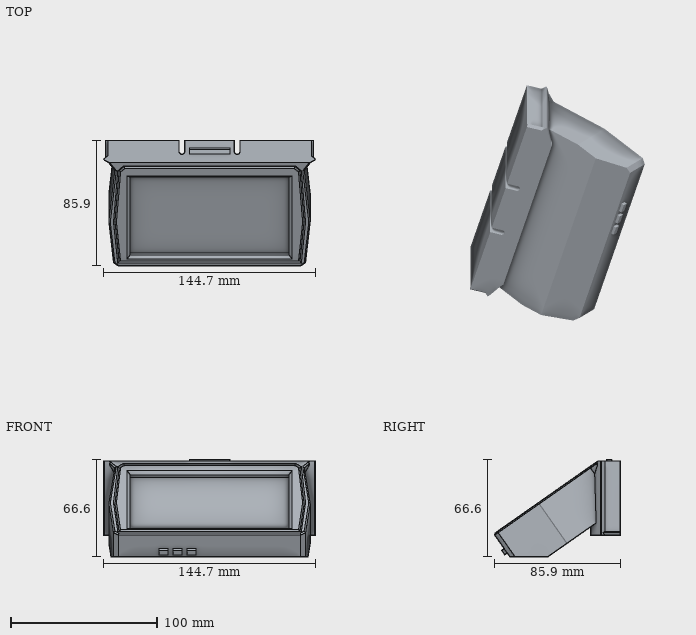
import cadquery as cq
import math

TILT = 35.0
TOTAL_DEPTH = 85.89
TOTAL_WIDTH = 144.66
TOTAL_HEIGHT = 66.6
EDGE = 1.0
LARGE = 400.0

SIN_TILT = math.sin(math.radians(TILT))
COS_TILT = math.cos(math.radians(TILT))

ridge_length = 27.7
ridge_height = 1.0
ridge_back = 5.4
ridge_front = 9.5

top_z = TOTAL_HEIGHT - ridge_height
neck_bottom_z = 14.7
neck_top_depth = 15.2
neck_front = 20.6
neck_half = 69.5
flange_back = 10.5
flange_tip = 12.9
flange_nose_depth = 13.7
flange_nose_half = 71.7
flange_slant = 29.0
flange_root_depth = 20.1
lip_half = 71.1
lip_top_z = 17.4
lip_crest_z = 16.5

slot_width = 3.8
slot_end = 9.5
slot_x = 18.9

case_front = TOTAL_DEPTH + EDGE * SIN_TILT
face_length = (case_front - neck_top_depth) / COS_TILT
face_low_z = top_z - face_length * SIN_TILT
case_thickness = 34.0
case_top_v = face_length + 10.0
case_back = 14.0
waist_v = 37.2
waist_half = 68.8
corner_u = 62.3
corner_half = 65.6
corner_v = 2.9
flare_v = 79.9
flare_root_half = 64.7
flare_half = 68.2
flare_end_v = 85.0

bezel_inset = 4.0
bezel_low_half = 61.7
bezel_waist_half = 64.6
bezel_high_half = 61.7
bezel_corner = 3.4
bezel_thickness = 4.4
window_half = 56.4
window_low = 6.4
window_high = face_length - 11.4
window_bevel = 2.15

display_margin = 2.0
display_thickness = 3.0

button_count = 3
button_pitch = 9.6
button_first_x = -31.4
button_width = 6.2
button_height = 3.7
button_reach = 2.1
button_top_n = -12.3


def face_plane(n=0.0):
    """Plane parallel to the sloping face, n outside it."""
    origin = (0, -case_front - n * SIN_TILT, face_low_z + n * COS_TILT)
    return cq.Plane(origin=origin, xDir=(1, 0, 0), normal=(0, -SIN_TILT, COS_TILT))


def mirrored(right_side):
    """Closed outline from the points of its right side."""
    return right_side + [(-x, y) for x, y in reversed(right_side)]


def chamfer_face(block):
    """Chamfer the edges of a block's outermost sloping face."""
    outward = cq.Vector(0, -SIN_TILT, COS_TILT)
    return block.faces(cq.selectors.DirectionNthSelector(outward, -1)).chamfer(EDGE)


def make_case():
    """Sloping case, trimmed flat at the bottom, at the top and inside the neck."""
    outline = mirrored([
        (corner_u, 0),
        (corner_half, corner_v),
        (waist_half, waist_v),
        (flare_root_half, flare_v),
        (flare_half, flare_end_v),
        (flare_half, case_top_v),
    ])
    case = cq.Workplane(face_plane(-case_thickness)).polyline(outline).close().extrude(case_thickness)
    case = chamfer_face(case)
    trim = cq.Workplane("XY").box(LARGE, LARGE, top_z, centered=(True, False, False))
    return case.intersect(trim.translate((0, -case_back - LARGE, 0)))


def make_neck():
    """Upright block with flared sides and a lip along the bottom of each side."""
    slant_run = (flange_root_depth - flange_nose_depth) / math.tan(math.radians(flange_slant))
    plan = mirrored([
        (neck_half, 0),
        (neck_half, -flange_back),
        (TOTAL_WIDTH / 2, -flange_tip),
        (flange_nose_half, -flange_nose_depth),
        (flange_nose_half - slant_run, -flange_root_depth),
        (flange_nose_half - slant_run, -neck_front),
    ])
    base = cq.Workplane("XY", origin=(0, 0, neck_bottom_z))
    neck = base.polyline(plan).close().extrude(top_z - neck_bottom_z)
    lip = mirrored([
        (neck_half, neck_bottom_z),
        (lip_half, lip_crest_z),
        (neck_half, lip_top_z),
    ])
    flare_slope = (flange_tip - flange_back) / (TOTAL_WIDTH / 2 - neck_half)
    lip_depth = flange_back + flare_slope * (lip_half - neck_half)
    neck = neck.union(cq.Workplane("XZ").polyline(lip).close().extrude(lip_depth))
    return neck.cut(cq.Workplane(face_plane()).rect(LARGE, LARGE).extrude(LARGE))


def make_ridge():
    """Latch ridge with a sloping back."""
    profile = [
        (-ridge_back, top_z),
        (-ridge_back - ridge_height, top_z + ridge_height),
        (-ridge_front, top_z + ridge_height),
        (-ridge_front, top_z),
    ]
    return cq.Workplane("YZ").polyline(profile).close().extrude(ridge_length / 2, both=True)


def make_slot(x):
    """Round-ended slot, open at the back and right through the neck."""
    r = slot_width / 2
    return (
        cq.Workplane("XY")
        .moveTo(x - r, 0)
        .lineTo(x - r, r - slot_end)
        .threePointArc((x, -slot_end), (x + r, r - slot_end))
        .lineTo(x + r, 0)
        .close()
        .extrude(top_z)
    )


def bezel_outline(growth=0.0):
    """Bezel outline moved outwards by growth, with the upper corners cut at 45 degrees."""
    low = bezel_inset - growth
    high = face_length - low
    corner = bezel_corner + growth * (2 - math.sqrt(2))
    return mirrored([
        (bezel_low_half + growth, low),
        (bezel_waist_half + growth, waist_v),
        (bezel_high_half + growth, high - corner),
        (bezel_high_half + growth - corner, high),
    ])


def bezel_blank():
    """Plain plate filling the bezel recess."""
    outline = bezel_outline()
    return cq.Workplane(face_plane(-bezel_thickness)).polyline(outline).close().extrude(bezel_thickness)


def make_groove_flare():
    """Space beside the outer wall of the V groove, narrowing into the case."""
    outline = bezel_outline(EDGE)
    return cq.Workplane(face_plane()).polyline(outline).close().extrude(-EDGE, taper=45)


def window_block(n, margin, depth, taper=0):
    """Block as large as the window plus a margin, running from level n into the case."""
    width = 2 * (window_half + margin)
    height = window_high - window_low + 2 * margin
    mid_v = (window_high + window_low) / 2
    return cq.Workplane(face_plane(n)).center(0, mid_v).rect(width, height).extrude(-depth, taper=taper)


def make_display():
    """Plate under the bezel, a little larger than the window."""
    return window_block(-bezel_thickness, display_margin, display_thickness)


def make_housing():
    """Case and neck in one, with the recesses for the bezel and the display."""
    housing = make_case().union(make_neck()).union(make_ridge())
    for x in (-slot_x, slot_x):
        housing = housing.cut(make_slot(x))
    housing = housing.cut(bezel_blank())
    housing = housing.cut(make_groove_flare())
    return housing.cut(make_display())


def make_bezel():
    """Frame with a groove chamfer outside and a bevelled window."""
    bezel = chamfer_face(bezel_blank())
    bezel = bezel.cut(window_block(0, -window_bevel, bezel_thickness))
    return bezel.cut(window_block(0, 0, window_bevel, taper=45))


def make_button(x):
    """Button standing on the lower end face."""
    return (
        cq.Workplane(face_plane(button_top_n))
        .center(x, -button_reach / 2)
        .rect(button_width, button_reach)
        .extrude(-button_height)
    )


housing = make_housing()
bezel = make_bezel()
display = make_display()
buttons = [make_button(button_first_x + i * button_pitch) for i in range(button_count)]

result = cq.Compound.makeCompound(
    [housing.val(), bezel.val(), display.val()] + [button.val() for button in buttons]
)